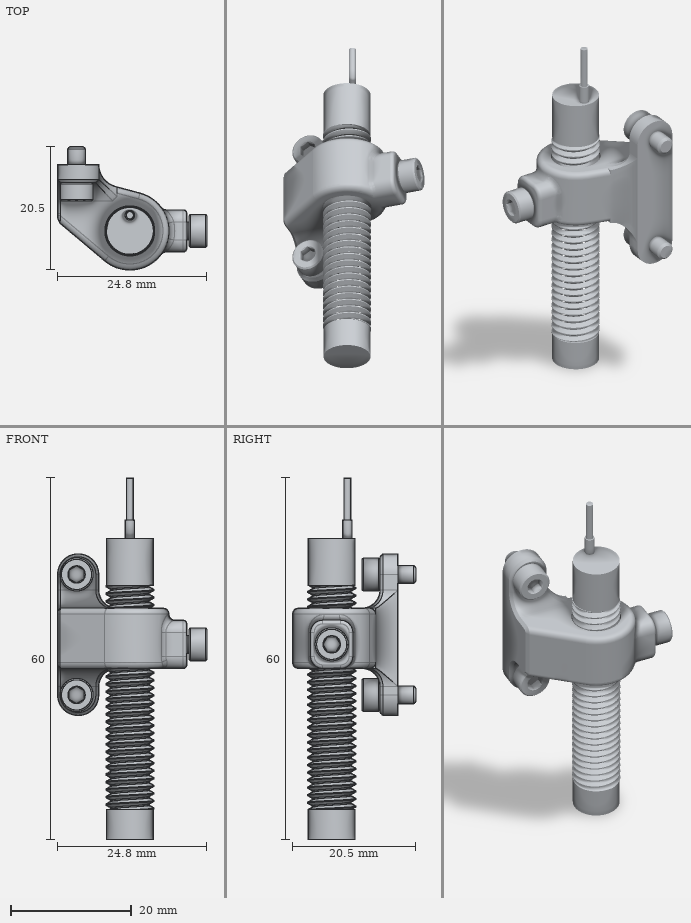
import cadquery as cq
import math

cap_height = 5.0
cap_diameter = 7.8
upper_cap_bottom = 42.2
sensor_height = 50.0
thread_diameter = 8.0
thread_pitch = 1.25
thread_depth = 0.65
thread_root_radius = thread_diameter / 2 - thread_depth
thread_overlap = 0.1
thread_crest = thread_pitch / 8
thread_flank_angle = 30.0
thread_start_angle = -50.0

cable_offset = 2.6
sleeve_diameter = 1.6
sleeve_length = 3.0
cable_diameter = 1.2
cable_top = 60.0

bore_diameter = 8.25
body_radius = 6.5
body_bottom = 28.4
body_height = 10.0
body_top = body_bottom + body_height
rim_radius = 1.0
side_corner_y = 1.6
shoulder_slope = 15.0
shoulder_radius = 3.75

plate_left = -12.0
plate_width = 6.85
plate_right = plate_left + plate_width
plate_back = 11.0
plate_thickness = 3.0
plate_front = plate_back - plate_thickness
plate_edge = 0.5
ear_radius = plate_width / 2
ear_x = plate_left + ear_radius
root_radius = 3.0
root_bend = root_radius * (1 - math.sqrt(0.5))
screw_spacing = 20.0
plate_center_z = 34.0
ear_heights = [plate_center_z - screw_spacing / 2, plate_center_z + screw_spacing / 2]

boss_width = 7.0
boss_height = 8.0
boss_corner = 2.0
boss_end = 9.45
boss_end_edge = 0.6
boss_root_radius = 0.95
boss_z = body_bottom + boss_height / 2

screw_diameter = 3.0
head_diameter = 5.5
head_height = 3.0
head_edge = 0.25
tip_edge = 0.4
socket_flats = 2.5
socket_depth = 1.5
socket_mouth = 2.9
mount_screw_x = -8.85
mount_screw_length = 6.0
clamp_seat_x = 9.81
clamp_screw_length = clamp_seat_x - thread_diameter / 2

tolerance = 0.001


def on_circle(radius, degrees, center=(0.0, 0.0)):
    angle = math.radians(degrees)
    return (center[0] + radius * math.cos(angle), center[1] + radius * math.sin(angle))


def plan_prism(bottom, top):
    """Top outline: plate, sloping shoulder, round nose and a straight flank back to the plate."""
    corner = (plate_left, side_corner_y)
    corner_angle = math.degrees(math.atan2(corner[1], corner[0]))
    flank_angle = corner_angle + math.degrees(math.acos(body_radius / math.hypot(*corner)))
    shoulder_angle = 90.0 - shoulder_slope

    arc_x = plate_right + shoulder_radius
    normal = math.radians(shoulder_angle)
    arc_y = (body_radius + shoulder_radius - arc_x * math.cos(normal)) / math.sin(normal)
    arc_center = (arc_x, arc_y)
    arc_last = 180.0 + shoulder_angle

    outline = (
        cq.Workplane("XY", origin=(0, 0, bottom))
        .moveTo(*corner)
        .lineTo(plate_left, plate_back)
        .lineTo(plate_right, plate_back)
        .lineTo(plate_right, arc_y)
        .threePointArc(
            on_circle(shoulder_radius, (180.0 + arc_last) / 2, arc_center),
            on_circle(shoulder_radius, arc_last, arc_center),
        )
        .lineTo(*on_circle(body_radius, shoulder_angle))
        .threePointArc(
            on_circle(body_radius, (shoulder_angle + flank_angle - 360.0) / 2),
            on_circle(body_radius, flank_angle),
        )
        .close()
    )
    return outline.extrude(top - bottom)


def front_prism():
    """Outline along Y: two round ears that widen through root arcs into the body height."""
    low, high = ear_heights
    reach = 2 * body_radius
    outline = (
        cq.Workplane("XZ", origin=(0, 2 * plate_back, 0))
        .moveTo(plate_left, low)
        .lineTo(plate_left, high)
        .threePointArc((ear_x, high + ear_radius), (plate_right, high))
        .lineTo(plate_right, body_top + root_radius)
        .threePointArc(
            (plate_right + root_bend, body_top + root_bend), (plate_right + root_radius, body_top)
        )
        .lineTo(reach, body_top)
        .lineTo(reach, body_bottom)
        .lineTo(plate_right + root_radius, body_bottom)
        .threePointArc(
            (plate_right + root_bend, body_bottom - root_bend), (plate_right, body_bottom - root_radius)
        )
        .lineTo(plate_right, low)
        .threePointArc((ear_x, low - ear_radius), (plate_left, low))
        .close()
    )
    return outline.extrude(4 * plate_back)


def side_prism():
    """Outline along X: a thin plate that flows through root arcs into the body height."""
    low = ear_heights[0] - 2 * ear_radius
    high = ear_heights[1] + 2 * ear_radius
    reach = -2 * body_radius
    outline = (
        cq.Workplane("YZ", origin=(2 * plate_left, 0, 0))
        .moveTo(plate_back, low)
        .lineTo(plate_back, high)
        .lineTo(plate_front, high)
        .lineTo(plate_front, body_top + root_radius)
        .threePointArc(
            (plate_front - root_bend, body_top + root_bend), (plate_front - root_radius, body_top)
        )
        .lineTo(reach, body_top)
        .lineTo(reach, body_bottom)
        .lineTo(plate_front - root_radius, body_bottom)
        .threePointArc(
            (plate_front - root_bend, body_bottom - root_bend), (plate_front, body_bottom - root_radius)
        )
        .lineTo(plate_front, low)
        .close()
    )
    return outline.extrude(-4 * plate_left)


def in_left_face(edge):
    return edge.BoundingBox().xmax < plate_left + tolerance


def bevelled_edges(bracket):
    """Left-face edges and ear-front edges, with the mitres where the root arcs meet."""
    chosen = []
    for edge in bracket.Edges():
        box = edge.BoundingBox()
        left_front = in_left_face(edge) and box.ymax < plate_front + tolerance
        at_plate_front = box.ylen < tolerance and abs(box.ymin - plate_front) < tolerance
        ear_front = at_plate_front and box.zlen > tolerance
        mitre = edge.geomType() == "ELLIPSE" and box.ylen > root_radius - tolerance
        if left_front or ear_front or mitre:
            chosen.append(edge)
    return chosen


def bevel(solid, edges):
    return cq.Workplane(obj=solid.chamfer(plate_edge, None, edges))


def rounded_body():
    """Full-height body with a rounded top and bottom rim and bevelled left edges."""
    body = plan_prism(body_bottom, body_top)
    beside_plate = cq.selectors.BoxSelector(
        (plate_left + tolerance, -2 * body_radius, 0),
        (2 * body_radius, plate_back - tolerance, cable_top),
    )
    rim = body.edges(">Z or <Z").edges(beside_plate)
    solid = body.newObject(rim.vals()).fillet(rim_radius).val()
    left = [e for e in solid.Edges() if in_left_face(e) and e.BoundingBox().ymin < plate_back - tolerance]
    return bevel(solid, left)


def bracket_blank():
    """The crossing of the three outlines, with the rim rounded in front of the plate."""
    crossing = plan_prism(0, cable_top).intersect(front_prism()).intersect(side_prism()).val()
    root_x = plate_right + root_radius
    root_y = plate_front - root_radius
    plate_zone = (
        cq.Workplane("XY")
        .box(root_x - plate_left, plate_back - root_y, cable_top, centered=False)
        .translate((plate_left, root_y, 0))
    )
    limits = rounded_body().union(plate_zone)
    return bevel(crossing.Solids()[0], bevelled_edges(crossing)).intersect(limits)


def clamp_boss():
    return (
        cq.Workplane("YZ", origin=(bore_diameter / 2, 0, boss_z))
        .rect(boss_width, boss_height)
        .extrude(boss_end - bore_diameter / 2)
        .edges("|X")
        .fillet(boss_corner)
        .faces(">X")
        .edges()
        .fillet(boss_end_edge)
    )


def boss_root_edges(bracket):
    """Edges where the boss leaves the round body, above its flush bottom."""
    zone = cq.selectors.BoxSelector(
        (body_radius / 2, -boss_width / 2 - tolerance, body_bottom + tolerance),
        (body_radius + tolerance, boss_width / 2 + tolerance, body_top - rim_radius / 2),
        boundingbox=True,
    )
    return bracket.edges(zone).vals()


def make_bracket():
    bracket = bracket_blank().union(clamp_boss())
    bracket = bracket.newObject(boss_root_edges(bracket)).fillet(boss_root_radius)

    bore = cq.Workplane("XY").circle(bore_diameter / 2).extrude(cable_top)
    clamp_hole = cq.Workplane("YZ", origin=(0, 0, boss_z)).circle(screw_diameter / 2).extrude(boss_end)
    bracket = bracket.cut(bore).cut(clamp_hole)

    for height in ear_heights:
        hole = (
            cq.Workplane("XZ", origin=(mount_screw_x, plate_back, height))
            .circle(screw_diameter / 2)
            .extrude(plate_thickness)
        )
        head_room = (
            cq.Workplane("XZ", origin=(mount_screw_x, plate_front, height))
            .circle(head_diameter / 2)
            .extrude(head_height)
        )
        bracket = bracket.cut(hole).cut(head_room)
    return bracket


def cap_screw(length):
    """Cap screw along +Z: the head seats on Z = 0 and the shank runs up from it."""
    head = cq.Workplane("XY").circle(head_diameter / 2).extrude(-head_height).edges().chamfer(head_edge)
    shank = cq.Workplane("XY").circle(screw_diameter / 2).extrude(length).faces(">Z").chamfer(tip_edge)
    socket = (
        cq.Workplane("XY", origin=(0, 0, -head_height))
        .polygon(6, socket_flats, circumscribed=True)
        .extrude(socket_depth)
    )
    mouth_radius = socket_mouth / 2
    mouth = cq.Workplane(
        obj=cq.Solid.makeCone(
            mouth_radius, 0, mouth_radius, pnt=cq.Vector(0, 0, -head_height), dir=cq.Vector(0, 0, 1)
        )
    )
    return head.union(shank).cut(socket).cut(mouth)


def make_mount_screw(height):
    screw = cap_screw(mount_screw_length).rotate((0, 0, 0), (1, 0, 0), -90)
    return screw.translate((mount_screw_x, plate_front, height))


def make_clamp_screw():
    screw = cap_screw(clamp_screw_length).rotate((0, 0, 0), (0, 1, 0), -90)
    return screw.translate((clamp_seat_x, 0, boss_z))


def threaded_length(radius):
    return (
        cq.Workplane("XY", origin=(0, 0, cap_height))
        .circle(radius)
        .extrude(upper_cap_bottom - cap_height)
    )


def thread_ridge():
    """Right-handed ridge with a flat crest, sunk slightly into the core and trimmed to its ends."""
    crest_r = thread_diameter / 2
    base_r = thread_root_radius - thread_overlap
    half_crest = thread_crest / 2
    half_base = half_crest + (crest_r - base_r) * math.tan(math.radians(thread_flank_angle))
    start = cap_height - thread_pitch
    helix_height = upper_cap_bottom - cap_height + 2 * thread_pitch
    helix = cq.Wire.makeHelix(thread_pitch, helix_height, crest_r, center=cq.Vector(0, 0, start))
    profile = (
        cq.Workplane("XZ", origin=(0, 0, start))
        .moveTo(base_r, -half_base)
        .lineTo(crest_r, -half_crest)
        .lineTo(crest_r, half_crest)
        .lineTo(base_r, half_base)
        .close()
    )
    ridge = profile.sweep(cq.Workplane(obj=helix), isFrenet=True)
    ridge = ridge.rotate((0, 0, 0), (0, 0, 1), thread_start_angle)
    return ridge.intersect(threaded_length(thread_diameter))


def make_sensor():
    threaded = threaded_length(thread_root_radius).union(thread_ridge())
    lower_cap = cq.Workplane("XY").circle(cap_diameter / 2).extrude(cap_height)
    upper_cap = (
        cq.Workplane("XY", origin=(0, 0, upper_cap_bottom))
        .circle(cap_diameter / 2)
        .extrude(sensor_height - upper_cap_bottom)
    )
    return threaded.union(lower_cap).union(upper_cap)


def make_cable():
    base = cq.Workplane("XY", origin=(0, cable_offset, sensor_height))
    sleeve = base.circle(sleeve_diameter / 2).extrude(sleeve_length)
    core = base.circle(cable_diameter / 2).extrude(cable_top - sensor_height)
    return sleeve.union(core)


bracket = make_bracket()
mount_screws = [make_mount_screw(height) for height in ear_heights]
clamp_screw = make_clamp_screw()
sensor = make_sensor()
cable = make_cable()

result = cq.Compound.makeCompound(
    [
        *bracket.vals(),
        *[screw.val() for screw in mount_screws],
        clamp_screw.val(),
        sensor.val(),
        cable.val(),
    ]
)